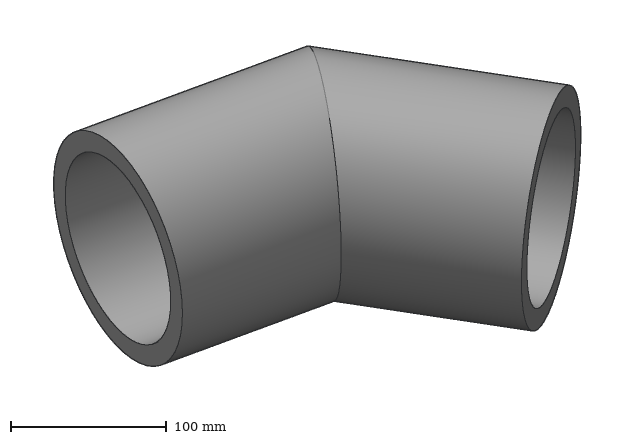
import cadquery as cq
import math

overall_length = 316.7
outer_diameter = 160.0
wall = 14.5
bend_angle = 45.0

outer_radius = outer_diameter / 2
inner_radius = outer_radius - wall
bend = math.radians(bend_angle)

leg_length = (overall_length - outer_radius * math.sin(bend)) / (1 + math.cos(bend))

mitre_rise = outer_radius * math.tan(bend / 2)


def mitred_leg():
    """Tube along Y ending in a mitre through the origin, open end at -Y."""
    tube = (
        cq.Workplane("XZ", origin=(0, -leg_length, 0))
        .circle(outer_radius)
        .circle(inner_radius)
        .extrude(-(leg_length + mitre_rise))
    )
    below_mitre = (
        cq.Workplane("XY")
        .polyline([
            (-outer_radius, -leg_length),
            (outer_radius, -leg_length),
            (outer_radius, -mitre_rise),
            (-outer_radius, mitre_rise),
        ])
        .close()
        .extrude(outer_radius, both=True)
    )
    return tube.intersect(below_mitre)


first_leg = mitred_leg()
second_leg = first_leg.mirror("XZ").rotate((0, 0, 0), (0, 0, 1), -bend_angle)

result = first_leg.union(second_leg)